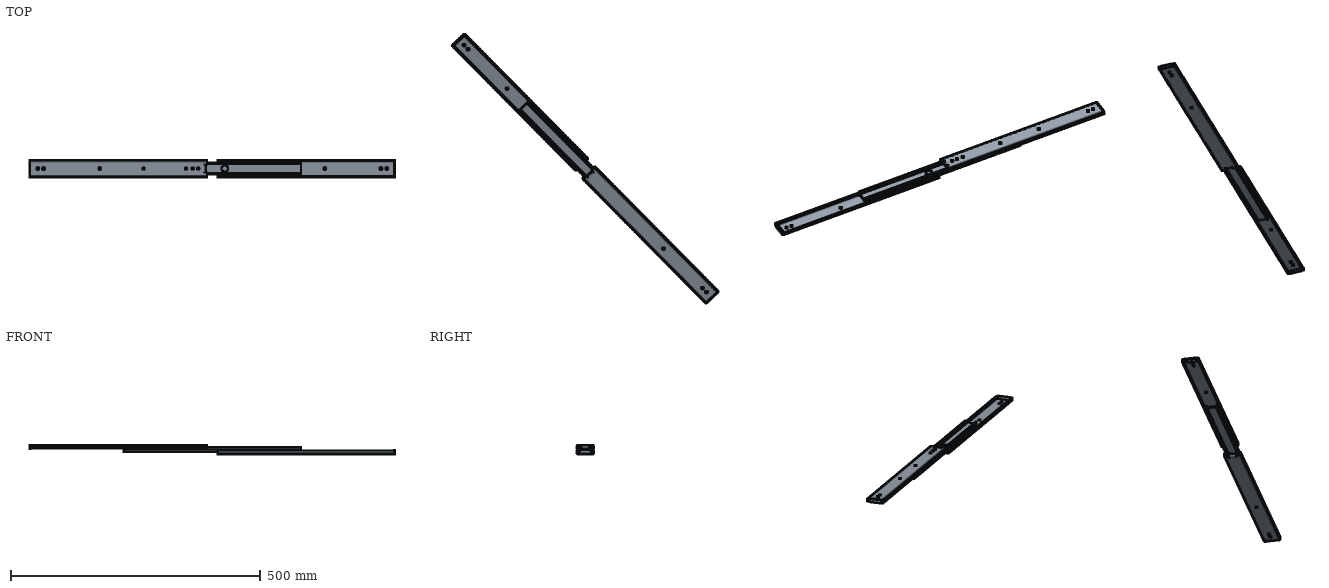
import cadquery as cq
import math

TOTAL_LENGTH = 732.6
TOTAL_WIDTH = 35.3
TOTAL_HEIGHT = 19.2
RAIL_LENGTH = 356.0
HALF_HEIGHT = TOTAL_HEIGHT / 2
HALF_LENGTH = TOTAL_LENGTH / 2

RAIL_THICKNESS = 2.2
CORNER_RADIUS = 3.0
WEB_HALF_WIDTH = 13.45
WALL_RADIUS = 3.9
WALL_CENTRE_Z = 4.7
WALL_HALF_HEIGHT = 2.9

SCREW_HOLE_DIAMETER = 4.5
COMMON_HOLES = (16.3, 27.8, 140.4)
UPPER_EXTRA_HOLES = (228.3, 313.8, 327.0, 338.0)
STOP_THICKNESS = 1.6
STOP_WIDTH = 25.0
STOP_EDGE_Z = 1.2
NOTCH_DEPTH = 2.3
NOTCH_WIDTH = 15.4
LIP_BEND_RADIUS = 3.05
LIP_EDGE_Z = 1.9

MIDDLE_THICKNESS = 1.2
MIDDLE_HALF_HEIGHT = 5.3
MIDDLE_WIDTH = 24.0
MIDDLE_BEND_RADIUS = 2.9
LATCH_HOLE_DIAMETER = 13.0
LATCH_HOLE_X = 25.2


def polar(centre, radius, degrees):
    """Point on a circle in a section plane, as (across, up)."""
    angle = math.radians(degrees)
    return (centre[0] + radius * math.cos(angle), centre[1] + radius * math.sin(angle))


def mirrored(point):
    return (-point[0], point[1])


def channel(start_x, outside, inside):
    """Extrude a channel that is symmetric in Y.

    Each skin of the +Y side is a web end followed by steps; a step is
    (end,) for a straight line or (middle, end) for an arc.
    """
    def trace(sketch, steps, place):
        for step in steps:
            points = [place(point) for point in step]
            sketch = sketch.lineTo(*points[0]) if len(points) == 1 else sketch.threePointArc(*points)
        return sketch

    def reverse(skin):
        """Same skin walked from the free edge back to the web end."""
        web_end, steps = skin
        starts = [web_end] + [step[-1] for step in steps[:-1]]
        return [step[:-1] + (start,) for step, start in zip(steps, starts)][::-1]

    def same(point):
        return point

    out_end, out_steps = outside
    in_end, in_steps = inside
    sketch = cq.Workplane("YZ", origin=(start_x, 0, 0)).moveTo(*mirrored(out_end)).lineTo(*out_end)
    sketch = trace(sketch, out_steps, same)
    sketch = sketch.lineTo(*in_steps[-1][-1])
    sketch = trace(sketch, reverse(inside), same)
    sketch = sketch.lineTo(*mirrored(in_end))
    sketch = trace(sketch, in_steps, mirrored)
    sketch = sketch.lineTo(*mirrored(out_steps[-1][-1]))
    sketch = trace(sketch, reverse(outside), mirrored)
    return sketch.close().extrude(RAIL_LENGTH)


def outer_rail_skin(inset):
    """Corner bend, kink and bulged wall; inset 0 is the outer skin."""
    corner = (WEB_HALF_WIDTH, HALF_HEIGHT - CORNER_RADIUS)
    wall = (TOTAL_WIDTH / 2 - WALL_RADIUS, WALL_CENTRE_Z)
    kink_z = WALL_CENTRE_Z + WALL_HALF_HEIGHT
    corner_end = math.degrees(math.asin((kink_z - corner[1]) / CORNER_RADIUS))
    wall_end = math.degrees(math.asin(WALL_HALF_HEIGHT / WALL_RADIUS))
    corner_radius = CORNER_RADIUS - inset
    wall_radius = WALL_RADIUS - inset
    steps = [
        (polar(corner, corner_radius, (90 + corner_end) / 2), polar(corner, corner_radius, corner_end)),
        (polar(wall, wall_radius, wall_end),),
        (polar(wall, wall_radius, 0), polar(wall, wall_radius, -wall_end)),
    ]
    return polar(corner, corner_radius, 90), steps


def stop_tab(closed_end):
    """Tab across the closed end, from inside the web down to its free edge."""
    height = HALF_HEIGHT - RAIL_THICKNESS / 2 - STOP_EDGE_Z
    return cq.Workplane("XY", origin=(closed_end, 0, STOP_EDGE_Z)).box(
        STOP_THICKNESS, STOP_WIDTH, height, centered=(False, True, False)
    )


def bent_lip(face_x):
    """Strip of the web turned down through a round bend; its outer face lies at face_x."""
    bend = (face_x - LIP_BEND_RADIUS, HALF_HEIGHT - LIP_BEND_RADIUS)
    inner_radius = LIP_BEND_RADIUS - RAIL_THICKNESS
    return (
        cq.Workplane("XZ")
        .moveTo(*polar(bend, LIP_BEND_RADIUS, 90))
        .threePointArc(polar(bend, LIP_BEND_RADIUS, 45), polar(bend, LIP_BEND_RADIUS, 0))
        .lineTo(face_x, LIP_EDGE_Z)
        .lineTo(face_x - RAIL_THICKNESS, LIP_EDGE_Z)
        .lineTo(*polar(bend, inner_radius, 0))
        .threePointArc(polar(bend, inner_radius, 45), polar(bend, inner_radius, 90))
        .close()
        .extrude(NOTCH_WIDTH / 2, both=True)
    )


def outer_rail(hole_distances):
    """Outer rail in its upper place: closed end at -X, web on top."""
    closed_end = -HALF_LENGTH
    lip_face_x = closed_end + RAIL_LENGTH - NOTCH_DEPTH
    notch = cq.Workplane("XY", origin=(lip_face_x - LIP_BEND_RADIUS, 0, HALF_HEIGHT - RAIL_THICKNESS)).box(
        LIP_BEND_RADIUS + NOTCH_DEPTH, NOTCH_WIDTH, RAIL_THICKNESS, centered=(False, True, False)
    )
    holes = (
        cq.Workplane("XY", origin=(0, 0, HALF_HEIGHT))
        .pushPoints([(closed_end + distance, 0) for distance in hole_distances])
        .circle(SCREW_HOLE_DIAMETER / 2)
        .extrude(-RAIL_THICKNESS)
    )
    blank = channel(closed_end, outer_rail_skin(0), outer_rail_skin(RAIL_THICKNESS))
    return blank.cut(notch).union(bent_lip(lip_face_x)).union(stop_tab(closed_end)).cut(holes)


def middle_rail_skin(inset):
    """Bend and flange of one channel whose web lies on the Z = 0 plane."""
    bend = (MIDDLE_WIDTH / 2 - MIDDLE_BEND_RADIUS, MIDDLE_BEND_RADIUS)
    radius = MIDDLE_BEND_RADIUS - inset
    steps = [
        (polar(bend, radius, -45), polar(bend, radius, 0)),
        ((MIDDLE_WIDTH / 2 - inset, MIDDLE_HALF_HEIGHT),),
    ]
    return polar(bend, radius, -90), steps


def middle_rail():
    """Two channels joined web to web, with a latch hole through both webs."""
    upper_half = channel(-RAIL_LENGTH / 2, middle_rail_skin(0), middle_rail_skin(MIDDLE_THICKNESS))
    lower_half = upper_half.mirror("XY")
    latch_hole = (
        cq.Workplane("XY", origin=(LATCH_HOLE_X, 0, 0))
        .circle(LATCH_HOLE_DIAMETER / 2)
        .extrude(MIDDLE_THICKNESS, both=True)
    )
    return upper_half.union(lower_half).cut(latch_hole)


upper_rail = outer_rail(COMMON_HOLES + UPPER_EXTRA_HOLES)
lower_rail = outer_rail(COMMON_HOLES).rotate((0, 0, 0), (0, 1, 0), 180)
middle = middle_rail()

result = cq.Compound.makeCompound([upper_rail.val(), middle.val(), lower_rail.val()])